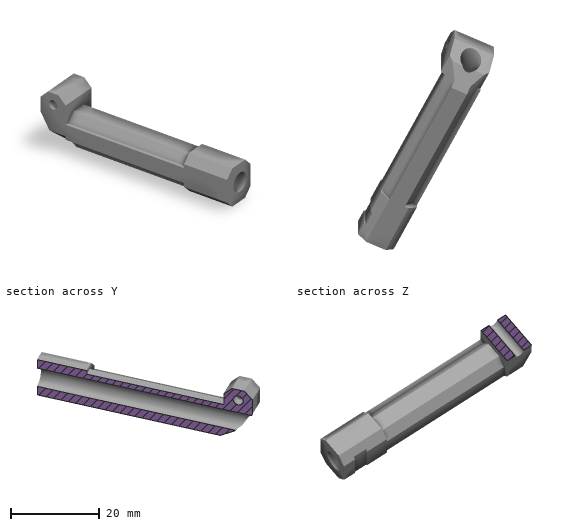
import cadquery as cq

length = 52.0
width = 10.0
head_height = 14.0

chamfer = 2.05
rib_height = 1.0
axis = width / 2
core_low = rib_height
core_high = width - rib_height
rib_low = core_low + chamfer
rib_high = core_high - chamfer

head_length = 6.95
nose_height = 8.0
knee = 3.0
toe_length = 7.8
pin_diameter = 2.35
pin_height = 10.95

block_length = 12.0
bore_diameter = 5.0
notch_start = 45.45
notch_length = 3.5
notch_depth = 0.45


def prism(section, start, end):
    """Extrude a closed (y, z) section along X from start to end."""
    return cq.Workplane("YZ", origin=(start, 0, 0)).polyline(section).close().extrude(end - start)


def make_shaft():
    """Octagonal bar with a flat-faced rib along its -Y side and its underside."""
    section = [
        (0, rib_low),
        (core_low, rib_low),
        (rib_low, core_low),
        (rib_low, 0),
        (rib_high, 0),
        (rib_high, core_low),
        (core_high, rib_low),
        (core_high, rib_high),
        (rib_high, core_high),
        (rib_low, core_high),
        (core_low, rib_high),
        (0, rib_high),
    ]
    return prism(section, head_length, length)


def make_head():
    """Upright lug whose lower flanks and rib continue those under the shaft."""
    flank_low = rib_low + rib_height
    section = [
        (0, flank_low),
        (rib_low, core_low),
        (rib_low, 0),
        (rib_high, 0),
        (rib_high, core_low),
        (width, flank_low),
        (width, head_height),
        (0, head_height),
    ]
    return prism(section, 0, head_length)


def make_block():
    """Chamfered end block, flush with the shaft on its +Y side."""
    block = cq.Workplane("XY").box(block_length, core_high, width, centered=False)
    block = block.edges("|X").chamfer(chamfer)
    return block.translate((length - block_length, 0, 0))


def make_side_envelope():
    """Side outline that bevels the head top and slopes its nose to the underside."""
    outline = [
        (0, nose_height),
        (knee, knee),
        (toe_length, 0),
        (length, 0),
        (length, width),
        (head_length, width),
        (head_length, head_height - chamfer),
        (head_length - chamfer, head_height),
        (chamfer, head_height),
        (0, head_height - chamfer),
    ]
    return cq.Workplane("XZ").polyline(outline).close().extrude(-width)


bore = cq.Workplane("YZ").center(axis, axis).circle(bore_diameter / 2).extrude(length)
pin_hole = cq.Workplane("XZ").center(head_length / 2, pin_height).circle(pin_diameter / 2).extrude(-width)
notch = cq.Workplane("XY").box(notch_length, notch_depth, width, centered=False)
notch = notch.translate((notch_start, core_high - notch_depth, 0))

solid = make_shaft().union(make_head()).union(make_block())
result = solid.intersect(make_side_envelope()).cut(bore).cut(pin_hole).cut(notch)